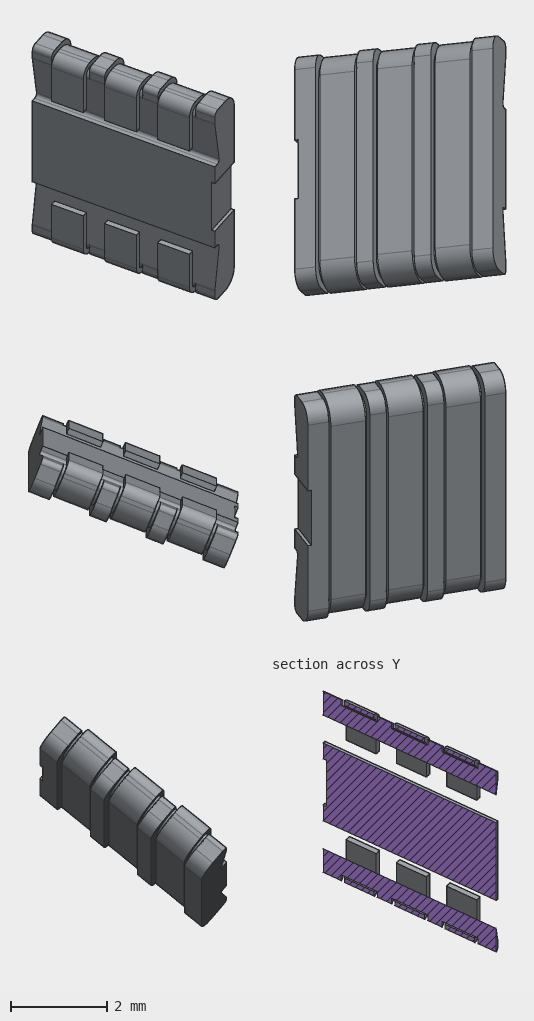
import cadquery as cq
import math


body_width = 4.37
body_height = 5.08
body_depth = 0.815
body_back_radius = 0.365
body_front_radius = 0.125

slope_start = 0.305
slope_edge_radius = 0.1
ledge_start = 1.455
recess_root_depth = 0.195
recess_root_radius = 0.075

notch_depth = 0.075
notch_height = 1.28

staple_count = 3
staple_pitch = 1.27
staple_width = 0.76
staple_thickness = 0.125
staple_inset = 0.07
staple_front_radius = 0.255
staple_back_radius = 0.52
staple_leg_end = 1.155

channel_width = 0.905
channel_front_radius = 0.19

half_height = body_height / 2
channel_floor_depth = staple_inset + staple_thickness
channel_floor_height = body_height - 2 * staple_thickness
channel_back_radius = staple_back_radius - staple_thickness


def rounded_bar(width, back_y, front_y, height, back_radius, front_radius):
    """Bar along X, centred in X and Z, with its long edges rounded."""
    depth = back_y - front_y
    bar = cq.Workplane("XY").box(width, depth, height).translate((0, (back_y + front_y) / 2, 0))
    bar = bar.edges("|X and >Y").fillet(back_radius)
    return bar.edges("|X and <Y").fillet(front_radius)


def front_recess():
    """Sloped recess at the upper end of the front face, with a square ledge below it."""
    slope_top = half_height - slope_start
    ledge_z = half_height - ledge_start
    root_y = recess_root_depth - body_depth
    slope_angle = math.atan2(recess_root_depth, slope_top - ledge_z)
    clearance = body_depth / 2
    half_angle = slope_angle / 2
    tangent = slope_edge_radius * math.tan(half_angle)
    arc_end = (
        -body_depth + tangent * math.sin(slope_angle),
        slope_top - tangent * math.cos(slope_angle),
    )
    arc_middle = (
        -body_depth + slope_edge_radius * (1 - math.cos(half_angle)),
        slope_top + tangent - slope_edge_radius * math.sin(half_angle),
    )
    recess = (
        cq.Workplane("YZ")
        .moveTo(-body_depth, slope_top + tangent)
        .threePointArc(arc_middle, arc_end)
        .lineTo(root_y, ledge_z)
        .lineTo(-body_depth - clearance, ledge_z)
        .lineTo(-body_depth - clearance, slope_top + tangent)
        .close()
        .extrude(body_width / 2, both=True)
    )
    return recess.edges("|X and >Y").fillet(recess_root_radius)


def channel():
    """Everything removed from the body around one staple."""
    core = rounded_bar(
        channel_width, -channel_floor_depth, -body_depth,
        channel_floor_height, channel_back_radius, channel_front_radius,
    )
    envelope = cq.Workplane("XY").box(channel_width, body_depth, body_height)
    return envelope.translate((0, -body_depth / 2, 0)).cut(core)


def staple():
    """Strip bent to a C, open at the front between its two legs."""
    front_y = -body_depth - staple_thickness
    outer = rounded_bar(
        staple_width, -staple_inset, front_y,
        body_height, staple_back_radius, staple_front_radius,
    )
    inner = rounded_bar(
        staple_width, -channel_floor_depth, -body_depth,
        channel_floor_height, channel_back_radius, staple_front_radius - staple_thickness,
    )
    mouth = cq.Workplane("XY").box(staple_width, 2 * staple_thickness, body_height - 2 * staple_leg_end)
    return outer.cut(inner).cut(mouth.translate((0, front_y, 0)))


def side_notch():
    """Shallow notch through the full depth of the +X side."""
    notch = cq.Workplane("XY").box(notch_depth, body_depth, notch_height)
    return notch.translate(((body_width - notch_depth) / 2, -body_depth / 2, 0))


body = rounded_bar(body_width, 0, -body_depth, body_height, body_back_radius, body_front_radius)
upper_recess = front_recess()
body = body.cut(upper_recess).cut(upper_recess.mirror("XY")).cut(side_notch())

for index in range(staple_count):
    staple_place = ((index - (staple_count - 1) / 2) * staple_pitch, 0, 0)
    body = body.cut(channel().translate(staple_place))
    body = body.union(staple().translate(staple_place))

result = body